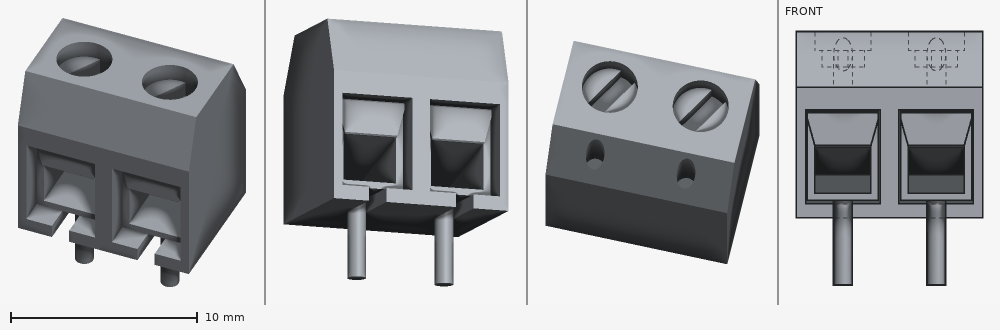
import cadquery as cq


pole_count = 2
housing_width = 10.0
pole_pitch = housing_width / pole_count
housing_depth = 7.7
housing_height = 10.0
shoulder_height = 7.0
front_slope_run = 1.0
back_slope_run = 1.7

overall_height = 13.6
pin_diameter = 1.0
pin_length = overall_height - housing_height
axis_y = 3.2

chamber_width = 4.0
chamber_height = 5.03
chamber_floor = 0.76
back_wall = 0.6
chamber_depth = housing_depth - back_wall
side_clearance = 0.1
bottom_clearance = 0.18
floor_slot_width = pin_diameter

cage_front = 1.2
cage_back = chamber_depth
cage_width = chamber_width - 2 * side_clearance
cage_bottom = chamber_floor + bottom_clearance
cage_top = chamber_floor + chamber_height - side_clearance

opening_width = 3.0
opening_bottom = 1.3
opening_front_top = 3.8
opening_back_top = 2.3
opening_depth = 5.58

tongue_thickness = 0.2
tongue_bevel = 0.08
tongue_taper_start = 5.3

screw_hole_diameter = 3.0
screw_head_depth = 1.0
screw_shank_diameter = 2.0
screw_slot_width = 1.0
screw_slot_depth = 0.9
screw_slot_angle = 60

test_hole_diameter = 1.0
test_hole_inset = 1.0
test_hole_y = housing_depth - test_hole_inset


def block(x_size, y_start, y_end, z_start, z_end):
    """Box centred on X = 0 between the given Y and Z limits."""
    size = (x_size, y_end - y_start, z_end - z_start)
    return cq.Workplane().box(*size, centered=(True, False, False)).translate((0, y_start, z_start))


def cylinder(diameter, y, z_start, z_end):
    """Vertical cylinder at X = 0."""
    base = cq.Workplane().workplane(offset=z_start).center(0, y)
    return base.circle(diameter / 2).extrude(z_end - z_start)


def side_prism(points, width):
    """Outline of (Y, Z) points extruded along X, centred on X = 0."""
    return cq.Workplane("YZ").polyline(points).close().extrude(width / 2, both=True)


def make_housing():
    profile = [
        (0, 0),
        (housing_depth, 0),
        (housing_depth, shoulder_height),
        (housing_depth - back_slope_run, housing_height),
        (front_slope_run, housing_height),
        (0, shoulder_height),
    ]
    return side_prism(profile, housing_width)


def make_pole_cutter():
    chamber_top = chamber_floor + chamber_height
    chamber = block(chamber_width, 0, chamber_depth, chamber_floor, chamber_top)
    floor_slot = block(floor_slot_width, 0, axis_y, 0, chamber_floor)
    head_top = housing_height - screw_head_depth
    screw_hole = cylinder(screw_hole_diameter, axis_y, head_top, housing_height)
    screw_slot = (
        cq.Workplane()
        .box(screw_hole_diameter, screw_slot_width, screw_slot_depth, centered=(True, True, False))
        .rotate((0, 0, 0), (0, 0, 1), screw_slot_angle)
        .translate((0, axis_y, head_top - screw_slot_depth))
        .intersect(cylinder(screw_hole_diameter, axis_y, head_top - screw_slot_depth, head_top))
    )
    test_hole = cylinder(test_hole_diameter, test_hole_y, shoulder_height, housing_height)
    return chamber.union(floor_slot).union(screw_hole).union(screw_slot).union(test_hole)


def make_tongue():
    """Plate with bevelled top and bottom edges that narrows to the opening width."""
    tongue_front = cage_front - tongue_thickness
    taper_end = opening_front_top + tongue_bevel
    plate = side_prism(
        [
            (cage_front, opening_front_top),
            (cage_front, cage_top),
            (tongue_front + tongue_bevel, cage_top),
            (tongue_front, cage_top - tongue_bevel),
            (tongue_front, taper_end),
            (tongue_front + tongue_bevel, opening_front_top),
        ],
        cage_width,
    )
    outline = (
        cq.Workplane("XZ")
        .polyline(
            [
                (-opening_width / 2, opening_front_top),
                (opening_width / 2, opening_front_top),
                (opening_width / 2, taper_end),
                (cage_width / 2, tongue_taper_start),
                (cage_width / 2, cage_top),
                (-cage_width / 2, cage_top),
                (-cage_width / 2, tongue_taper_start),
                (-opening_width / 2, taper_end),
            ]
        )
        .close()
        .extrude(-cage_front)
    )
    return plate.intersect(outline)


def make_clamp():
    """Cage with its tongue, the screw shank above it and the pin below it."""
    cage = block(cage_width, cage_front, cage_back, cage_bottom, cage_top)
    opening_back = cage_front + opening_depth
    opening = side_prism(
        [
            (cage_front, opening_bottom),
            (opening_back, opening_bottom),
            (opening_back, opening_back_top),
            (cage_front, opening_front_top),
        ],
        opening_width,
    )
    shank = cylinder(screw_shank_diameter, axis_y, cage_top, chamber_floor + chamber_height)
    pin = cylinder(pin_diameter, axis_y, -pin_length, cage_bottom)
    return cage.cut(opening).union(make_tongue()).union(shank).union(pin)


result = make_housing()
for pole in range(pole_count):
    pole_x = (pole - (pole_count - 1) / 2) * pole_pitch
    result = result.cut(make_pole_cutter().translate((pole_x, 0, 0)))
    result = result.union(make_clamp().translate((pole_x, 0, 0)))